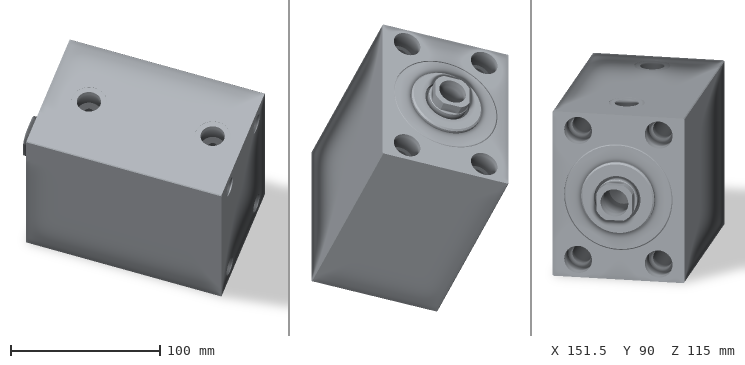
import cadquery as cq
import math


total_length = 151.5
rod_projection = 13.5
block_length = total_length - rod_projection
block_width = 90.0
block_height = 115.0
block_edge_chamfer = 0.6

bolt_spacing_y = 55.0
bolt_spacing_z = 90.1
bolt_hole_diameter = 13.2
bolt_head_diameter = 19.0
bolt_head_depth = 14.0

front_port_x = 29.0
rear_port_x = 116.5
port_seat_diameter = 24.1
port_seat_depth = 0.2
port_diameter = 16.2
port_depth = 12.1
port_passage_diameter = 6.2

bore_diameter = 50.0
bore_end_wall = 12.1
bore_end_x = block_length - bore_end_wall

gland_diameter = 74.0
gland_edge_chamfer = 0.8
gland_length = front_port_x
collar_diameter = 50.0
collar_projection = 3.3
collar_chamfer = 1.0
rod_recess_diameter = 31.5
rod_recess_depth = 2.4

rod_diameter = 28.0
rod_chamfer = 0.38
nose_length = 7.0
nose_diameter = rod_diameter - 2 * rod_chamfer
nose_across_flats = 24.2
piston_length = 21.2
rod_socket_diameter = 19.0
rod_socket_depth = 30.0
drill_point_angle = 118.0


def x_cylinder(diameter, start_x, end_x):
    """Cylinder on the X axis between two positions."""
    return cq.Workplane("YZ", origin=(start_x, 0, 0)).circle(diameter / 2).extrude(end_x - start_x)


def port_cutter(port_x):
    """Shallow sealing seat, threaded-size hole and narrow passage down into the bore."""
    top_z = block_height / 2
    top = cq.Workplane("XY", origin=(port_x, 0, top_z))
    seat = top.circle(port_seat_diameter / 2).extrude(-port_seat_depth)
    hole = top.circle(port_diameter / 2).extrude(-port_depth)
    passage = top.circle(port_passage_diameter / 2).extrude(-top_z)
    return seat.union(hole).union(passage)


def make_housing():
    """Block with bolt holes, ports, a gland seat and a blind bore."""
    block = (
        cq.Workplane("XY")
        .box(block_length, block_width, block_height, centered=(False, True, True))
        .edges("|X")
        .chamfer(block_edge_chamfer)
    )
    block = (
        block.faces("<X")
        .workplane(origin=(0, 0, 0))
        .rarray(bolt_spacing_y, bolt_spacing_z, 2, 2)
        .cboreHole(bolt_hole_diameter, bolt_head_diameter, bolt_head_depth)
    )
    block = block.cut(x_cylinder(gland_diameter, 0, gland_length))
    block = block.cut(x_cylinder(bore_diameter, gland_length, bore_end_x))
    for port_x in (front_port_x, rear_port_x):
        block = block.cut(port_cutter(port_x))
    return block


def make_gland():
    """Plug in the housing mouth with a chamfered collar in front and a recessed hole for the rod."""
    collar_start_x = -collar_projection
    plug = x_cylinder(gland_diameter, 0, gland_length).faces("<X").edges().chamfer(gland_edge_chamfer)
    collar = x_cylinder(collar_diameter, collar_start_x, gland_length)
    collar = collar.faces("<X").edges().chamfer(collar_chamfer)
    rod_hole = x_cylinder(rod_diameter, collar_start_x, gland_length)
    recess = x_cylinder(rod_recess_diameter, collar_start_x, collar_start_x + rod_recess_depth)
    return plug.union(collar).cut(rod_hole).cut(recess)


def make_nose(start_x, end_x):
    """Round nose with four wrench flats."""
    square = cq.Workplane("YZ", origin=(start_x, 0, 0)).rect(nose_across_flats, nose_across_flats)
    return x_cylinder(nose_diameter, start_x, end_x).intersect(square.extrude(end_x - start_x))


def make_rod_socket(start_x):
    """Blind drilled hole with a conical bottom."""
    radius = rod_socket_diameter / 2
    point_length = radius / math.tan(math.radians(drill_point_angle / 2))
    wall_end_x = start_x + rod_socket_depth
    return (
        cq.Workplane("XY")
        .moveTo(start_x, 0)
        .lineTo(start_x, radius)
        .lineTo(wall_end_x, radius)
        .lineTo(wall_end_x + point_length, 0)
        .close()
        .revolve(360, (0, 0, 0), (1, 0, 0))
    )


def make_piston_rod():
    """Rod with a piston at the bore end and a flatted, drilled nose in front."""
    nose_start_x = -rod_projection
    rod_start_x = nose_start_x + nose_length
    rod = x_cylinder(rod_diameter, rod_start_x, bore_end_x).faces("<X").edges().chamfer(rod_chamfer)
    piston = x_cylinder(bore_diameter, bore_end_x - piston_length, bore_end_x)
    nose = make_nose(nose_start_x, rod_start_x)
    return rod.union(piston).union(nose).cut(make_rod_socket(nose_start_x))


housing = make_housing()
gland = make_gland()
piston_rod = make_piston_rod()

result = cq.Compound.makeCompound([housing.val(), gland.val(), piston_rod.val()])